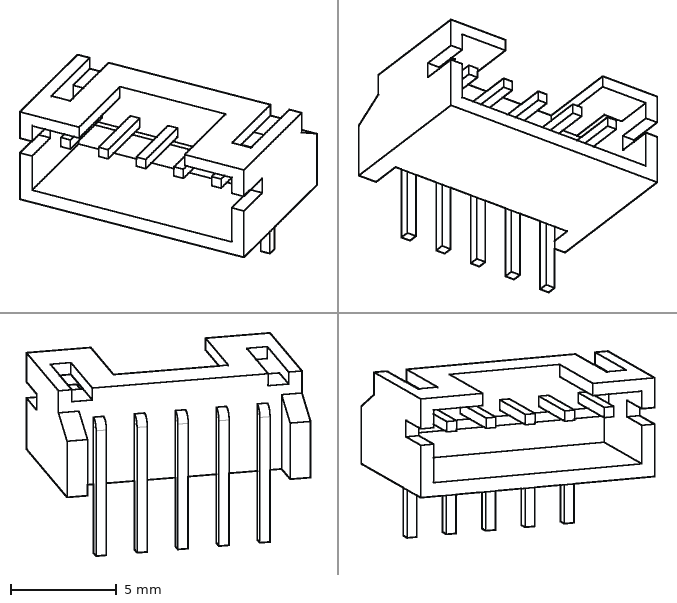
import cadquery as cq

width = 11.9
body_depth = 6.0
body_height = 4.8
side_wall = 0.65
floor_thickness = 0.68
roof_thickness = 0.6

cavity_depth = 4.25
recess_depth = 4.83
recess_start_z = 2.55
recess_slope_end_z = 1.95

window_width = 5.6
notch_depth = 1.9
notch_bottom_z = recess_start_z
notch_top_z = 3.34
slot_width = 1.0
slot_front_y = 2.0

ear_thickness = 1.0
ear_length = 1.61
ear_root_z = 3.7
ear_tip_z = 2.8

pin_count = 5
pin_pitch = 2.0
pin_size = 0.5
pin_bend_radius = pin_size
pin_tip_y = 0.95
pin_back_y = 6.52
pin_drop = 3.4

cavity_width = width - 2 * side_wall
roof_underside_z = body_height - roof_thickness


def block(x_range, y_range, z_range):
    """Box spanning the given (low, high) ranges."""
    size = [high - low for low, high in (x_range, y_range, z_range)]
    corner = (x_range[0], y_range[0], z_range[0])
    return cq.Workplane("XY").box(*size, centered=False).translate(corner)


def side_profile(points, x_start, length):
    """Extrude a YZ outline along +X from x_start."""
    return cq.Workplane("YZ", origin=(x_start, 0, 0)).polyline(points).close().extrude(length)


def make_ear(x_start):
    outline = [
        (body_depth, 0),
        (body_depth + ear_length, 0),
        (body_depth + ear_length, ear_tip_z),
        (body_depth, ear_root_z),
    ]
    return side_profile(outline, x_start, ear_thickness)


def make_cavity():
    outline = [
        (0, floor_thickness),
        (recess_depth, floor_thickness),
        (recess_depth, recess_slope_end_z),
        (cavity_depth, recess_start_z),
        (cavity_depth, roof_underside_z),
        (0, roof_underside_z),
    ]
    return side_profile(outline, -cavity_width / 2, cavity_width)


def make_slot(x_start):
    """Roof slot that opens into the cavity and runs out over the back wall."""
    x_range = (x_start, x_start + slot_width)
    return block(x_range, (slot_front_y, body_depth), (roof_underside_z, body_height))


def make_pin(x_center):
    """Pin running back from the cavity, then bent straight down."""
    outline = [
        (pin_tip_y, notch_top_z),
        (pin_back_y, notch_top_z),
        (pin_back_y, -pin_drop),
        (pin_back_y - pin_size, -pin_drop),
        (pin_back_y - pin_size, notch_top_z - pin_size),
        (pin_tip_y, notch_top_z - pin_size),
    ]
    pin = side_profile(outline, x_center - pin_size / 2, pin_size)
    return pin.edges("|X and >Y and >Z").fillet(pin_bend_radius)


housing = block((-width / 2, width / 2), (0, body_depth), (0, body_height))
for ear_x in (-width / 2, width / 2 - ear_thickness):
    housing = housing.union(make_ear(ear_x))

housing = housing.cut(make_cavity())
housing = housing.cut(
    block((-window_width / 2, window_width / 2), (0, cavity_depth), (roof_underside_z, body_height))
)
housing = housing.cut(block((-width / 2, width / 2), (0, notch_depth), (notch_bottom_z, notch_top_z)))
for slot_x in (-cavity_width / 2, cavity_width / 2 - slot_width):
    housing = housing.cut(make_slot(slot_x))

result = housing
for index in range(pin_count):
    result = result.union(make_pin((index - (pin_count - 1) / 2) * pin_pitch))